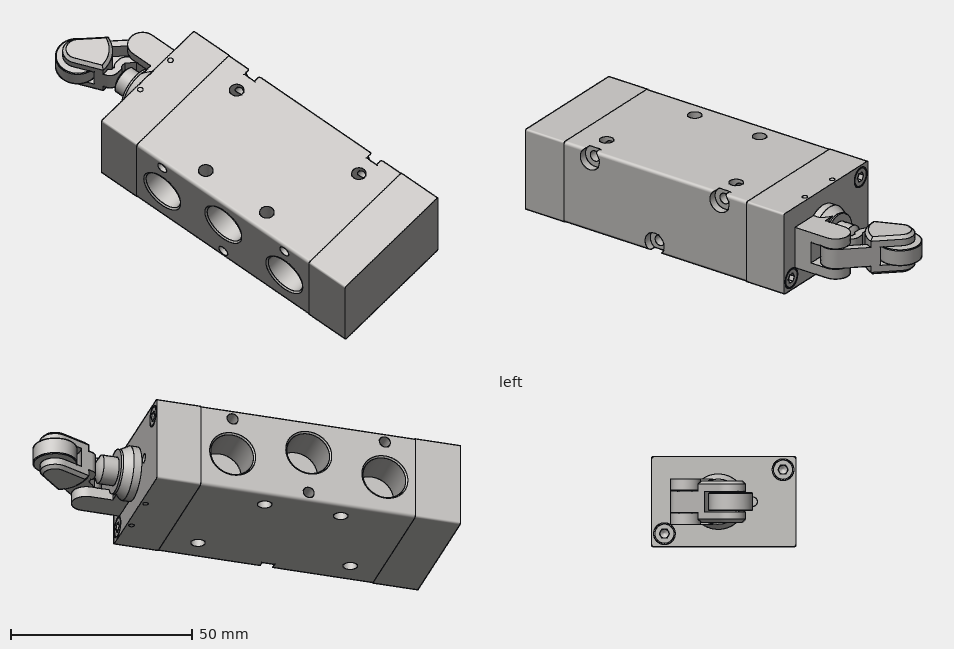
import cadquery as cq
import math


valve_width = 40.0
valve_height = 25.0
front_cap_length = 12.7
body_length = 62.1
rear_cap_length = 13.1
cap_fillet = 0.6
body_fillet = 1.0
valve_length = front_cap_length + body_length + rear_cap_length
valve_middle_x = valve_length / 2
front_y = -valve_width / 2

port_pitch = 22.0
port_diameter = 12.4
port_mouth_diameter = 13.3
port_chamfer = (port_mouth_diameter - port_diameter) / 2
port_depth = 11.8
side_port_z = -1.3
middle_port_z = 2.7

cross_hole_diameter = 3.2
cross_hole_z = 9.8
cross_bore_diameter = 6.5
cross_bore_depth = 2.5

rear_hole_diameter = 4.0
rear_hole_y = 12.0
front_hole_y = -14.4
front_hole_pitch = port_pitch / 2

screw_y = 16.4
screw_z = 8.8
screw_bore_diameter = 6.0
screw_head_diameter = 5.3
screw_head_height = 4.0
screw_shank_diameter = 3.0
screw_reach = 7.1
socket_width = 2.5
socket_depth = 1.7
socket_cone_depth = 1.0

collar_y = 1.5
collar_radius = 7.7
collar_front_radius = 6.2
collar_length = 5.4
collar_lip = 0.6
collar_ring_length = 2.2
nose_radius = 4.0
nose_length = 9.8
nose_tip_length = 11.2
pivot_x = -10.8
pivot_y = 10.6
ear_radius = 4.1
ear_outer_z = 6.2
ear_inner_z = 3.2
ear_root_x = -4.5

retainer_diameter = 1.5
retainer_x = 1.4
retainer_offset = 6.5
vent_diameter = 2.6
vent_y = -8.0
vent_depth = 3.5

roller_radius = 6.1
roller_x = -23.8
roller_y = -1.9
roller_half_width = 2.5
roller_chamfer = 0.2
arm_half_height = 3.0
fork_end_radius = 4.1
fork_reach = 9.7
fork_half_height = 5.8
fork_chamfer = 1.0
fork_slot_radius = 7.3
fork_slot_half_height = 2.8
fork_lower_angle = 22.5
pivot_arc_middle = 30
pivot_arc_end = -75
neck_x = -12.0
neck_top_y = 4.4
neck_bottom_y = 3.0
toe_tip_x = -11.4
toe_top_y = 2.5
toe_bottom_y = 0.7
toe_arc_middle = (-11.9, -1.0)
toe_start_x = -13.3
rim_width = 2.0
web_thickness = 1.2
journal_radius = 1.8
journal_depth = 1.2


def x_block(x_start, length, edge_fillet):
    """Full-section block along X with its four long edges rounded."""
    block = cq.Workplane("XY").box(length, valve_width, valve_height).edges("|X").fillet(edge_fillet)
    return block.translate((x_start + length / 2, 0, 0))


def x_cylinder(x_start, length, diameter, y, z):
    """Cylinder running from x_start toward +X."""
    return cq.Workplane("YZ", origin=(x_start, y, z)).circle(diameter / 2).extrude(length)


def y_cylinder(y_start, length, diameter, x, z):
    """Cylinder running from y_start toward +Y."""
    return cq.Workplane("XZ", origin=(x, y_start, z)).circle(diameter / 2).extrude(-length)


def z_cylinder(radius, half_height, x, y):
    """Cylinder along Z, symmetric about the mid plane."""
    return cq.Workplane("XY", origin=(x, y, -half_height)).circle(radius).extrude(2 * half_height)


def z_prism(outline, half_height):
    """Outline extruded along Z, symmetric about the mid plane."""
    return outline.extrude(2 * half_height).translate((0, 0, -half_height))


screw_places = [(-screw_y, screw_z), (screw_y, -screw_z)]


def cap_screw(y, z):
    """Screw along X, its head flush with the front cap, with a drilled hexagon socket."""
    shank_length = front_cap_length + screw_reach
    head = x_cylinder(0, screw_head_height, screw_head_diameter, y, z)
    shank = x_cylinder(0, shank_length, screw_shank_diameter, y, z)
    socket_corners = socket_width / math.cos(math.radians(30))
    socket = cq.Workplane("YZ", origin=(0, y, z)).polygon(6, socket_corners).extrude(socket_depth)
    drill_point = cq.Solid.makeCone(
        socket_width / 2,
        0,
        socket_cone_depth,
        cq.Vector(socket_depth, y, z),
        cq.Vector(1, 0, 0),
    )
    return head.union(shank).cut(socket).cut(cq.Workplane(drill_point))


screws = [cap_screw(y, z) for y, z in screw_places]


def port(x, z):
    """Bore with a chamfered mouth, opening at the -Y face."""
    bore = y_cylinder(front_y, port_depth, port_diameter, x, z)
    mouth = cq.Solid.makeCone(
        port_mouth_diameter / 2,
        port_diameter / 2,
        port_chamfer,
        cq.Vector(x, front_y, z),
        cq.Vector(0, 1, 0),
    )
    return bore.union(cq.Workplane(mouth))


def cross_hole(x, z):
    """Through hole along Y with a counterbore at the +Y face."""
    hole = y_cylinder(front_y, valve_width, cross_hole_diameter, x, z)
    counterbore_y = valve_width / 2 - cross_bore_depth
    counterbore = y_cylinder(counterbore_y, cross_bore_depth, cross_bore_diameter, x, z)
    return hole.union(counterbore)


def make_body():
    body = x_block(front_cap_length, body_length, body_fillet)
    body = body.cut(port(valve_middle_x, middle_port_z))
    body = body.cut(cross_hole(valve_middle_x, -cross_hole_z))
    for side in (-1, 1):
        outer_x = valve_middle_x + side * port_pitch
        inner_x = valve_middle_x + side * front_hole_pitch
        body = body.cut(port(outer_x, side_port_z))
        body = body.cut(cross_hole(outer_x, cross_hole_z))
        body = body.cut(z_cylinder(rear_hole_diameter / 2, valve_height, outer_x, rear_hole_y))
        body = body.cut(z_cylinder(rear_hole_diameter / 2, valve_height, inner_x, front_hole_y))
    for y, z in screw_places:
        body = body.cut(x_cylinder(front_cap_length, screw_reach, screw_shank_diameter, y, z))
    return body


body = make_body()


def retaining_pin(y):
    """Pin through the full height of the front cap."""
    return z_cylinder(retainer_diameter / 2, valve_height / 2, retainer_x, y)


pins = [retaining_pin(collar_y + side * retainer_offset) for side in (-1, 1)]


def make_front_cap():
    cap = x_block(0, front_cap_length, cap_fillet)
    for y, z in screw_places:
        cap = cap.cut(x_cylinder(0, screw_head_height, screw_bore_diameter, y, z))
        cap = cap.cut(x_cylinder(0, front_cap_length, screw_shank_diameter, y, z))
    for pin in pins:
        cap = cap.cut(pin)
    return cap.cut(x_cylinder(0, vent_depth, vent_diameter, vent_y, 0))


front_cap = make_front_cap()
rear_cap = x_block(front_cap_length + body_length, rear_cap_length, cap_fillet)


def collar_and_nose():
    """Turned part about X: ring, cone and lip, then the nose with its domed tip."""
    dome_height = nose_tip_length - nose_length
    dome_radius = (nose_radius**2 + dome_height**2) / (2 * dome_height)
    dome_mid_angle = math.asin(nose_radius / dome_radius) / 2
    dome_mid_x = dome_radius * (1 - math.cos(dome_mid_angle)) - nose_tip_length
    dome_mid_radius = dome_radius * math.sin(dome_mid_angle)
    profile = (
        cq.Workplane("XY")
        .lineTo(0, collar_radius)
        .lineTo(-collar_ring_length, collar_radius)
        .lineTo(collar_lip - collar_length, collar_front_radius)
        .lineTo(-collar_length, collar_front_radius)
        .lineTo(-collar_length, nose_radius)
        .lineTo(-nose_length, nose_radius)
        .threePointArc((dome_mid_x, dome_mid_radius), (-nose_tip_length, 0))
        .close()
    )
    return profile.revolve(360, (0, 0, 0), (1, 0, 0)).translate((0, collar_y, 0))


def ear_block(x_start, x_end, y_start, half_height):
    """Block between two X places, from y_start to the ears' +Y side, symmetric about Z = 0."""
    x_length = x_end - x_start
    y_length = pivot_y + ear_radius - y_start
    block = cq.Workplane("XY").box(x_length, y_length, 2 * half_height)
    return block.translate((x_start + x_length / 2, y_start + y_length / 2, 0))


def ears():
    """Two plates with round ends, apart by the lever's gap and with a blind socket for each journal."""
    plates = ear_block(pivot_x, 0, pivot_y - ear_radius, ear_outer_z)
    plates = plates.union(z_cylinder(ear_radius, ear_outer_z, pivot_x, pivot_y))
    gap = ear_block(pivot_x - ear_radius, -collar_length, pivot_y - ear_radius, ear_inner_z)
    root = ear_block(ear_root_x, 0, collar_y, ear_outer_z)
    socket = z_cylinder(journal_radius, ear_inner_z + journal_depth, pivot_x, pivot_y)
    return plates.cut(gap).union(root).cut(socket)


bracket = ears().union(collar_and_nose())


def point_at(center, radius, degrees):
    """Point at a polar angle and radius around a center in the XY plane."""
    angle = math.radians(degrees)
    return (center[0] + radius * math.cos(angle), center[1] + radius * math.sin(angle))


def lever_outline():
    """Arm from the roller end to the pivot, with a rounded toe in front of the nose."""
    roller_center = (roller_x, roller_y)
    pivot_center = (pivot_x, pivot_y)
    arm_angle = math.degrees(math.atan2(pivot_y - roller_y, pivot_x - roller_x))
    upper_normal = arm_angle + 90
    lower_normal = fork_lower_angle - 90
    lower_start = point_at(roller_center, fork_end_radius, lower_normal)
    toe_rise = (toe_start_x - lower_start[0]) * math.tan(math.radians(fork_lower_angle))
    return (
        cq.Workplane("XY")
        .moveTo(*point_at(roller_center, fork_end_radius, upper_normal))
        .lineTo(*point_at(pivot_center, ear_radius, upper_normal))
        .threePointArc(
            point_at(pivot_center, ear_radius, pivot_arc_middle),
            point_at(pivot_center, ear_radius, pivot_arc_end),
        )
        .lineTo(neck_x, neck_top_y)
        .lineTo(neck_x, neck_bottom_y)
        .lineTo(toe_tip_x, toe_top_y)
        .lineTo(toe_tip_x, toe_bottom_y)
        .threePointArc(toe_arc_middle, (toe_start_x, lower_start[1] + toe_rise))
        .lineTo(*lower_start)
        .threePointArc(
            point_at(roller_center, fork_end_radius, 180),
            point_at(roller_center, fork_end_radius, upper_normal),
        )
        .close()
    )


def make_lever():
    """Arm hollowed from the top inside a rim, with a taller forked end and a journal at the pivot."""
    arm = z_prism(lever_outline(), arm_half_height)
    tall = z_prism(lever_outline(), fork_half_height)
    fork = tall.intersect(z_cylinder(fork_reach, fork_half_height, roller_x, roller_y))
    fork = fork.faces("<Z or >Z").chamfer(fork_chamfer)
    recess = z_prism(lever_outline().offset2D(-rim_width), arm_half_height)
    lever = arm.cut(recess.translate((0, 0, web_thickness))).union(fork)
    lever = lever.cut(z_cylinder(fork_slot_radius, fork_slot_half_height, roller_x, roller_y))
    return lever.union(z_cylinder(journal_radius, ear_inner_z + journal_depth, pivot_x, pivot_y))


lever = make_lever()

roller = z_cylinder(roller_radius, roller_half_width, roller_x, roller_y).edges().chamfer(roller_chamfer)

result = cq.Compound.makeCompound(
    [
        body.val(),
        front_cap.val(),
        rear_cap.val(),
        *[screw.val() for screw in screws],
        *[pin.val() for pin in pins],
        bracket.val(),
        lever.val(),
        roller.val(),
    ]
)